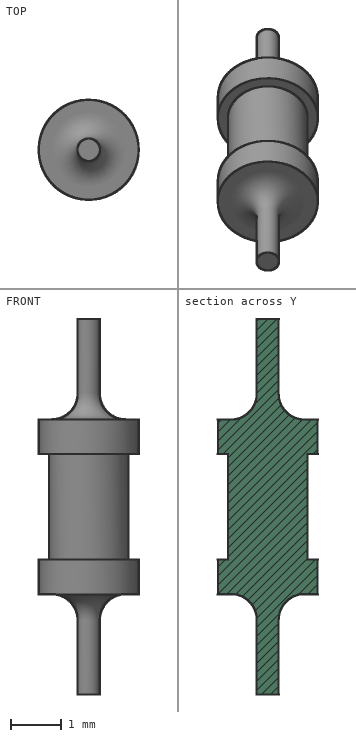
import cadquery as cq

total_length = 7.5
lead_length = 2.0
lead_diameter = 0.45
cap_diameter = 2.0
cap_height = 0.7
body_diameter = 1.6
flare_radius = 0.5

body_length = total_length - 2 * lead_length


def centred_cylinder(diameter, length):
    """Cylinder on the Z axis, centred on the origin."""
    return cq.Workplane("XY").circle(diameter / 2).extrude(length / 2, both=True)


lead = centred_cylinder(lead_diameter, total_length)
body = centred_cylinder(body_diameter, body_length)

cap = (
    cq.Workplane("XY")
    .workplane(offset=body_length / 2 - cap_height)
    .circle(cap_diameter / 2)
    .extrude(cap_height)
)

cap_face = body_length / 2
lead_radius = lead_diameter / 2
flare_outer_radius = lead_radius + flare_radius
flare_top = cap_face + flare_radius
flare = (
    cq.Workplane("XZ")
    .moveTo(0, cap_face)
    .lineTo(flare_outer_radius, cap_face)
    .radiusArc((lead_radius, flare_top), flare_radius)
    .lineTo(0, flare_top)
    .close()
    .revolve(360, (0, 0), (0, 1))
)

upper_end = cap.union(flare)
lower_end = upper_end.mirror("XY")

result = body.union(lead).union(upper_end).union(lower_end)